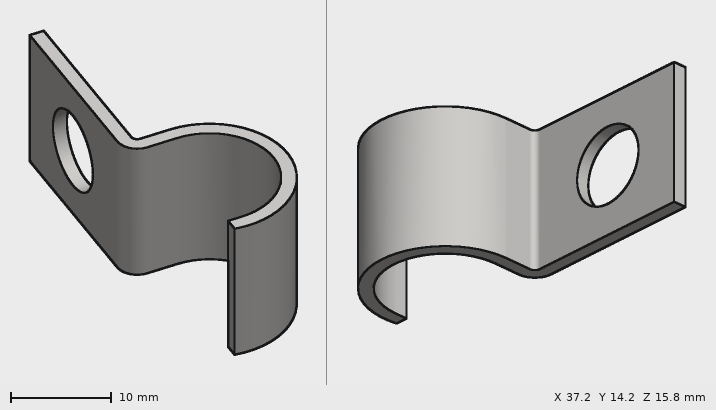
import cadquery as cq
import math

length = 37.25
depth = 14.23
width = 15.85
thickness = 1.55
loop_outer_radius = 8.68
bend_inner_radius = 0.67
free_end_height = 4.02
hole_diameter = 8.75
hole_from_end = 9.5

loop_inner_radius = loop_outer_radius - thickness
bend_outer_radius = bend_inner_radius + thickness
loop_x = length - loop_outer_radius
loop_y = depth - loop_outer_radius
wall_outer_x = loop_x - loop_outer_radius
wall_inner_x = loop_x - loop_inner_radius
tip_outer_x = loop_x + math.sqrt(loop_outer_radius**2 - (loop_y - free_end_height) ** 2)
bend_x = wall_outer_x - bend_inner_radius


def strap():
    """Flat tab, bend, short wall, round loop and a free end that is straight on the inside."""
    return (
        cq.Workplane("XY")
        .moveTo(0, 0)
        .lineTo(bend_x, 0)
        .radiusArc((wall_inner_x, bend_outer_radius), -bend_outer_radius)
        .lineTo(wall_inner_x, loop_y)
        .threePointArc((loop_x, loop_y + loop_inner_radius), (loop_x + loop_inner_radius, loop_y))
        .lineTo(loop_x + loop_inner_radius, free_end_height)
        .lineTo(tip_outer_x, free_end_height)
        .threePointArc((loop_x, depth), (wall_outer_x, loop_y))
        .lineTo(wall_outer_x, bend_outer_radius)
        .radiusArc((bend_x, thickness), bend_inner_radius)
        .lineTo(0, thickness)
        .close()
        .extrude(width)
    )


def screw_hole():
    """Cutter for the round hole through the tab, midway across the strap."""
    return (
        cq.Workplane("XZ")
        .center(hole_from_end, width / 2)
        .circle(hole_diameter / 2)
        .extrude(-thickness)
    )


result = strap().cut(screw_hole())